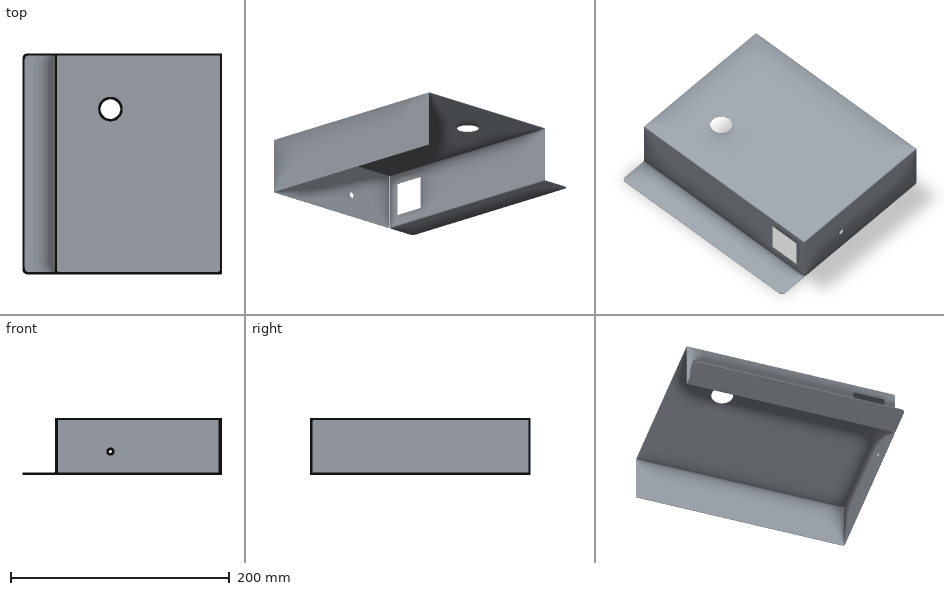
import cadquery as cq

total_width = 180.5
length = 200.0
height = 50.5
sheet = 0.5

inner_bend = 0.5
outer_bend = inner_bend + sheet

flange_width = 29.5
flange_corner_radius = 4.0

top_hole_diameter = 20.0
top_hole_x = 79.5
top_hole_y = 150.0
end_hole_diameter = 5.0
end_hole_x = 79.5
end_hole_z = 20.5
window_size = 30.0
window_y = 10.0
window_z = 10.5

top_left = flange_width + outer_bend
top_right = total_width - outer_bend
top_front = outer_bend
wall_top = height - outer_bend
wall_foot = outer_bend


def box(x_start, x_end, y_start, y_end, z_start, z_end):
    """Block between the given coordinates."""
    size = (x_end - x_start, y_end - y_start, z_end - z_start)
    return cq.Workplane("XY").box(*size, centered=False).translate((x_start, y_start, z_start))


def bend(plane, center, start, end, side, rise):
    """Quarter-tube bend; side and rise (+1 or -1) choose its quadrant in the plane."""
    ring = cq.Workplane(plane).circle(outer_bend).circle(inner_bend).extrude(end - start)
    quadrant = (
        cq.Workplane(plane)
        .center(side * outer_bend / 2, rise * outer_bend / 2)
        .rect(outer_bend, outer_bend)
        .extrude(end - start)
    )
    x, y, z = center
    offset = (x, start, z) if plane == "ZX" else (start, y, z)
    return ring.intersect(quadrant).translate(offset)


def flat_sheets():
    """Top, end wall, two side walls and flange, before they are joined by bends."""
    top = box(top_left, top_right, top_front, length, height - sheet, height)
    end_wall = box(top_left, top_right, 0, sheet, 0, wall_top)
    left_wall = box(flange_width, flange_width + sheet, sheet, length, wall_foot, wall_top)
    right_wall = box(total_width - sheet, total_width, sheet, length, 0, wall_top)
    flange = box(0, flange_width + sheet - outer_bend, 0, length, 0, sheet)
    flange = flange.edges("|Z and <X").fillet(flange_corner_radius)
    return [top, end_wall, left_wall, right_wall, flange]


def bends():
    """Bends around the top and at the foot of the -X wall."""
    top_left_bend = bend("ZX", (top_left, 0, wall_top), top_front, length, 1, -1)
    top_right_bend = bend("ZX", (top_right, 0, wall_top), top_front, length, 1, 1)
    foot_center_x = flange_width + sheet - outer_bend
    foot_bend = bend("ZX", (foot_center_x, 0, wall_foot), sheet, length, -1, 1)
    top_front_bend = bend("YZ", (0, top_front, wall_top), top_left, top_right, -1, 1)
    return [top_left_bend, top_right_bend, foot_bend, top_front_bend]


def openings():
    """Cutters for the top hole, the end-wall hole and the square window."""
    top_hole = (
        cq.Workplane("XY", origin=(top_hole_x, top_hole_y, 0))
        .circle(top_hole_diameter / 2)
        .extrude(height)
    )
    end_hole = (
        cq.Workplane("XZ", origin=(end_hole_x, sheet, end_hole_z))
        .circle(end_hole_diameter / 2)
        .extrude(sheet)
    )
    window = box(
        flange_width, flange_width + sheet,
        window_y, window_y + window_size,
        window_z, window_z + window_size,
    )
    return [top_hole, end_hole, window]


cover = cq.Workplane("XY")
for piece in flat_sheets() + bends():
    cover = cover.union(piece)
for cutter in openings():
    cover = cover.cut(cutter)

result = cover